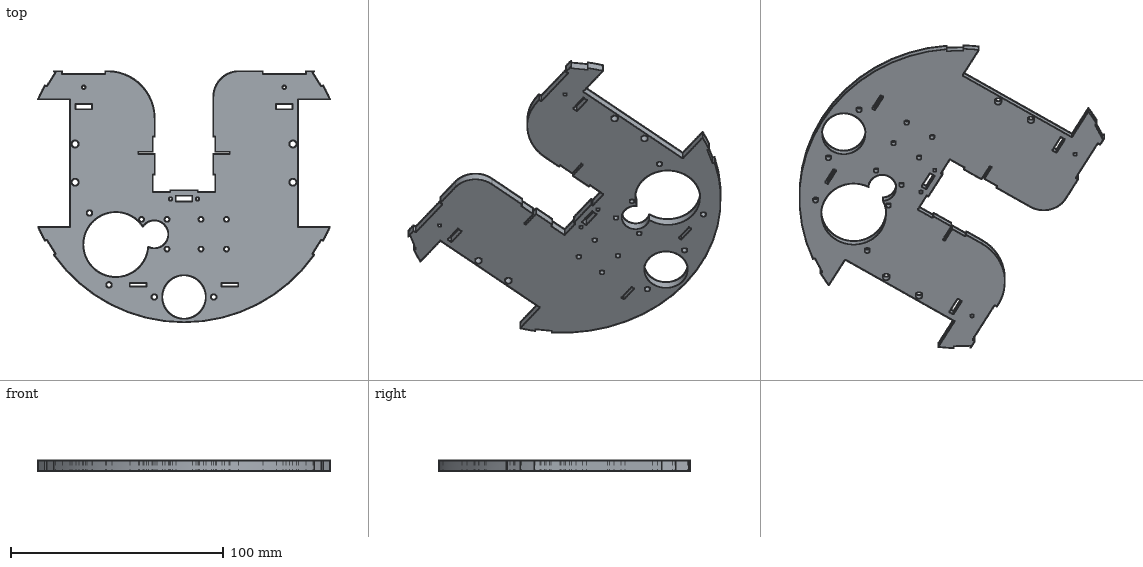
import cadquery as cq

thickness = 5.0
rim_radius = 75.0
top_edge_y = 43.32

wheel_gap_x = 53.75
wheel_gap_half_length = 30.03
wheel_axle_y = -0.03

opening_half_width = 13.75
opening_floor_y = -13.6
left_corner_radius = 22.3
right_corner_radius = 12.2

relief_depth = 0.9
upper_relief_top_y = 12.5
ledge_bottom_y = -5.5
floor_tab_width = 13.0

slit_end_x = 21.5
slit_bottom_y = 4.3
slit_width = 1.0

top_recess_center_x = 47.25
top_recess_length = 20.2
top_recess_depth = 1.3

rim_notch_angle = 32.2
rim_notch_length = 7.8
rim_notch_depth = 1.05
notch_cutter_width = 4.0

mount_slot_length = 7.75
arm_slot = {"x": 47.2, "y": 26.6, "width": 2.3}
center_slot = {"y": -16.75, "width": 2.6}
front_slot = {"x": 21.55, "y": -57.3, "width": 1.5}

motor_bore = {"x": -32.1, "y": -38.35, "diameter": 30.5}
shaft_bore = {"x": -13.95, "y": -33.55, "diameter": 13.0}
caster_bore = {"x": 0.0, "y": -63.05, "diameter": 20.4}

pin_hole_diameter = 1.6
arm_pin_x = 47.2
arm_pin_y = 35.65
center_pin_x = 6.35
center_pin_y = -16.9
board_hole_diameter = 2.2
board_hole_columns = (8.0, 20.0)
board_hole_row_y = -26.5
board_hole_row_spacing = 14.0
mount_hole_diameter = 2.5
motor_hole_points = [(-44.5, -23.5), (-35.3, -57.35)]
caster_hole_offset_x = 14.0
side_hole_diameter = 3.2
side_hole_x = 51.25
side_hole_axle_offset = 9.0


def box_between(x_min, x_max, y_min, y_max):
    """Full-thickness block between two opposite corners."""
    center_x = (x_min + x_max) / 2
    center_y = (y_min + y_max) / 2
    block = cq.Workplane("XY").box(x_max - x_min, y_max - y_min, thickness, centered=(True, True, False))
    return block.translate((center_x, center_y, 0))


def slot_at(x, y, width):
    """Rectangular mounting slot centred on a point, long side along X."""
    half_length = mount_slot_length / 2
    return box_between(x - half_length, x + half_length, y - width / 2, y + width / 2)


def holes_at(points, diameter):
    """Full-thickness cylinders of one diameter."""
    return cq.Workplane("XY").pushPoints(points).circle(diameter / 2).extrude(thickness)


def bore_at(bore):
    return holes_at([(bore["x"], bore["y"])], bore["diameter"])


def base_disc():
    """Round plate cut straight at the top and beside the wheels."""
    disc = cq.Workplane("XY").circle(rim_radius).extrude(thickness)
    disc = disc.cut(box_between(-rim_radius, rim_radius, top_edge_y, rim_radius))
    gap_bottom_y = wheel_axle_y - wheel_gap_half_length
    gap_top_y = wheel_axle_y + wheel_gap_half_length
    for inner, outer in ((-rim_radius, -wheel_gap_x), (wheel_gap_x, rim_radius)):
        disc = disc.cut(box_between(inner, outer, gap_bottom_y, gap_top_y))
    return disc


def central_opening():
    """Opening between the arms, flared by the rounded inner corners of the arms."""
    outline = (
        cq.Workplane("XY")
        .moveTo(-opening_half_width, opening_floor_y)
        .lineTo(opening_half_width, opening_floor_y)
        .lineTo(opening_half_width, top_edge_y - right_corner_radius)
        .radiusArc((opening_half_width + right_corner_radius, top_edge_y), right_corner_radius)
        .lineTo(-opening_half_width - left_corner_radius, top_edge_y)
        .radiusArc((-opening_half_width, top_edge_y - left_corner_radius), left_corner_radius)
        .close()
    )
    return outline.extrude(thickness)


def opening_reliefs():
    """Side reliefs and slits; the floor keeps a raised tab in the middle."""
    relief_x = opening_half_width + relief_depth
    slit_top_y = slit_bottom_y + slit_width
    upper = box_between(-relief_x, relief_x, slit_bottom_y, upper_relief_top_y)
    lower = box_between(-relief_x, relief_x, opening_floor_y, ledge_bottom_y)
    slits = box_between(-slit_end_x, slit_end_x, slit_bottom_y, slit_top_y)
    return upper.union(lower).union(slits)


def floor_tab():
    half_width = floor_tab_width / 2
    return box_between(-half_width, half_width, opening_floor_y, opening_floor_y + relief_depth)


def rim_notch(angle):
    """Straight-bottomed notch cut square to the rim radius."""
    notch_center = rim_radius - rim_notch_depth + notch_cutter_width / 2
    cutter = cq.Workplane("XY").box(
        notch_cutter_width, rim_notch_length, thickness, centered=(True, True, False)
    )
    return cutter.translate((notch_center, 0, 0)).rotate((0, 0, 0), (0, 0, 1), angle)


def top_recess(side):
    """Shallow recess in the top edge of one arm."""
    center_x = side * top_recess_center_x
    half_length = top_recess_length / 2
    floor_y = top_edge_y - top_recess_depth
    return box_between(center_x - half_length, center_x + half_length, floor_y, top_edge_y)


def mirrored(points):
    """Points together with their mirror images across the YZ plane."""
    return points + [(-x, y) for x, y in points]


def pin_holes():
    points = [(arm_pin_x, arm_pin_y), (center_pin_x, center_pin_y)]
    return holes_at(mirrored(points), pin_hole_diameter)


def board_holes():
    """Two rows of four holes; the lower left one falls inside the motor bore."""
    rows = (board_hole_row_y, board_hole_row_y - board_hole_row_spacing)
    points = [(x, y) for x in board_hole_columns for y in rows]
    return holes_at(mirrored(points), board_hole_diameter)


def motor_and_caster_holes():
    caster_points = mirrored([(caster_hole_offset_x, caster_bore["y"])])
    return holes_at(motor_hole_points + caster_points, mount_hole_diameter)


def side_holes():
    """Pairs of holes above and below the wheel axle."""
    points = [(side_hole_x, wheel_axle_y + offset) for offset in (side_hole_axle_offset, -side_hole_axle_offset)]
    return holes_at(mirrored(points), side_hole_diameter)


plate = base_disc().cut(central_opening()).cut(opening_reliefs()).union(floor_tab())

for notch_angle in (rim_notch_angle, 180 - rim_notch_angle, 180 + rim_notch_angle, -rim_notch_angle):
    plate = plate.cut(rim_notch(notch_angle))

for side in (-1, 1):
    plate = plate.cut(top_recess(side))
    for slot in (arm_slot, front_slot):
        plate = plate.cut(slot_at(side * slot["x"], slot["y"], slot["width"]))
plate = plate.cut(slot_at(0, center_slot["y"], center_slot["width"]))

for bore in (motor_bore, shaft_bore, caster_bore):
    plate = plate.cut(bore_at(bore))

for holes in (pin_holes(), board_holes(), motor_and_caster_holes(), side_holes()):
    plate = plate.cut(holes)

result = plate